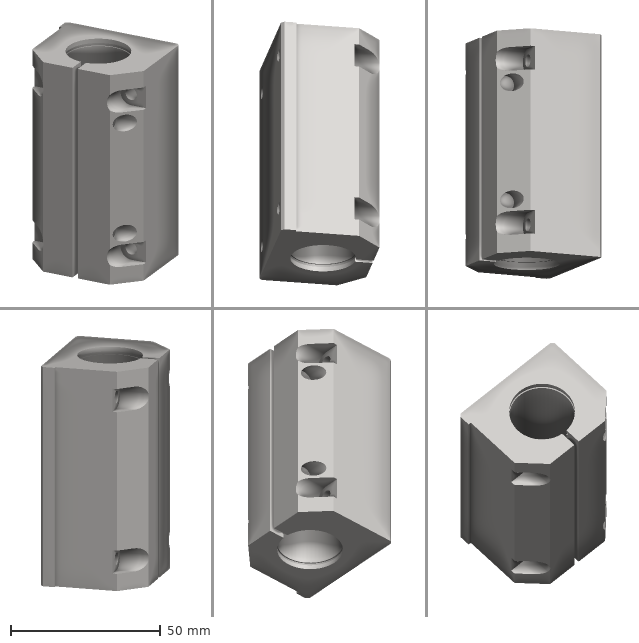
import cadquery as cq

length = 76.0
width = 43.0
depth = 35.0
left_side_relief = 1.0
flange_height = 5.0
back_chamfer = 1.0
front_chamfer = 8.4

bore_to_back = 18.0
bore_radius = 11.0
shoulder_radius = 10.0
shoulder_length = 6.2
groove_radius = 11.5
groove_width = 1.1
groove_inset = 1.6
slit_width = 2.0

mount_spacing_x = 32.0
mount_spacing_z = 56.0
mount_diameter = 4.25
pocket_radius = 4.0
pocket_depth = 10.0

clamp_diameter = 6.0
clamp_spacing_z = 40.0
clamp_to_front = 3.7
clamp_floor_x = 12.0

right_x = width / 2
left_x = -width / 2
body_left_x = left_x + left_side_relief
front_y = -(depth - bore_to_back)
back_y = bore_to_back


def cylinder_z(radius, bottom_z, height):
    """Cylinder on the bore axis."""
    return cq.Workplane("XY").workplane(offset=bottom_z).circle(radius).extrude(height)


def make_block():
    """Chamfered profile with a locating flange along the back of the left side."""
    profile = [
        (body_left_x + front_chamfer, front_y),
        (right_x - front_chamfer, front_y),
        (right_x, front_y + front_chamfer),
        (right_x, back_y - back_chamfer),
        (right_x - back_chamfer, back_y),
        (left_x + back_chamfer, back_y),
        (left_x, back_y - back_chamfer),
        (left_x, back_y - flange_height),
        (body_left_x, back_y - flange_height),
        (body_left_x, front_y + front_chamfer),
    ]
    block = cq.Workplane("XY").polyline(profile).close().extrude(length)
    return block.translate((0, 0, -length / 2))


def make_bore():
    """Two bearing seats separated by a shoulder, each with a ring groove near its open end."""
    bore = cylinder_z(shoulder_radius, -length / 2, length)
    seat_length = (length - shoulder_length) / 2
    for seat_bottom in (-length / 2, shoulder_length / 2):
        bore = bore.union(cylinder_z(bore_radius, seat_bottom, seat_length))
    for groove_bottom in (-length / 2 + groove_inset, length / 2 - groove_inset - groove_width):
        bore = bore.union(cylinder_z(groove_radius, groove_bottom, groove_width))
    return bore


def make_slit():
    """Slit joining the bore to the front face."""
    return cq.Workplane("XY").box(slit_width, -front_y, length).translate((0, front_y / 2, 0))


def make_mount(side, z):
    """Through hole along Y and its rounded pocket, open towards the side given by +1 or -1."""
    x = side * mount_spacing_x / 2
    hole = cq.Workplane("XZ", origin=(x, back_y, z)).circle(mount_diameter / 2).extrude(depth)
    floor = cq.Workplane("XZ", origin=(x, front_y + pocket_depth, z))
    round_end = floor.circle(pocket_radius).extrude(pocket_depth)
    open_length = width / 2
    open_end = (
        floor.center(side * open_length / 2, 0)
        .rect(open_length, 2 * pocket_radius)
        .extrude(pocket_depth)
    )
    return hole.union(round_end).union(open_end)


def make_clamp_hole(z):
    """Blind screw hole along X, open to the right front chamfer."""
    plane = cq.Workplane("YZ", origin=(clamp_floor_x, front_y + clamp_to_front, z))
    return plane.circle(clamp_diameter / 2).extrude(right_x - clamp_floor_x)


result = make_block().cut(make_bore()).cut(make_slit())
for z_sign in (-1, 1):
    for side in (-1, 1):
        result = result.cut(make_mount(side, z_sign * mount_spacing_z / 2))
    result = result.cut(make_clamp_hole(z_sign * clamp_spacing_z / 2))